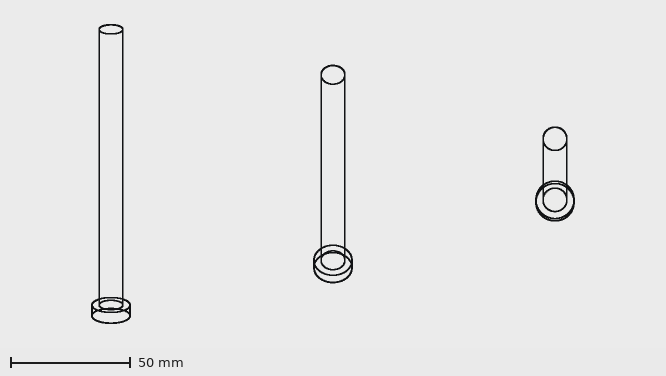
import cadquery as cq

total_length = 130.0
head_diameter = 16.0
head_thickness = 5.0
shank_diameter = 10.0
shank_length = total_length - head_thickness

head = cq.Workplane("XY").circle(head_diameter / 2).extrude(head_thickness)

result = head.faces(">Z").workplane().circle(shank_diameter / 2).extrude(shank_length)